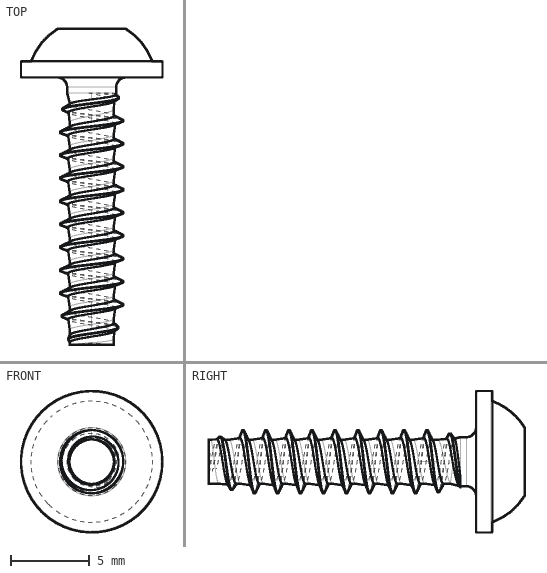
import cadquery as cq
import math

ORIGIN = cq.Vector(0, 0, 0)
X_AXIS = cq.Vector(1, 0, 0)
Z_AXIS = cq.Vector(0, 0, 1)

overall_length = 20.1
flange_diameter = 9.0
head_height = 3.12
tip_station = overall_length - head_height

flange_thickness = 1.05
flange_edge_round = 0.08
dome_base_radius = 3.85
dome_top_radius = 2.15
dome_height = head_height - flange_thickness

neck_radius = 1.57
neck_fillet = 0.6
neck_end = 0.98
core_radius = 1.4
core_start = 1.63
tip_dish_depth = 0.12

pitch = 1.461
crest_radius = 2.0
crest_width = 0.05
head_flank_width = 0.3
tip_flank_width = 0.18
foot_radius = 1.5
foot_width = 0.68
root_depth = 0.03
root_radius = core_radius - root_depth
first_crest = -0.18
lead_in_turns = 2
full_turns = 8.25
run_out_turns = 1.5
lead_in_crest_radius = 1.47
sunk_radius = core_radius - root_depth / 2


def dome_arc_midpoint(base_radius, top_radius, height, base_station):
    """Midpoint (radius, station) of the dome arc, whose sphere is centred on the screw axis."""
    centre = (top_radius**2 + height**2 - base_radius**2) / (2 * height)
    sphere_radius = math.hypot(base_radius, centre)
    base_angle = math.atan2(-centre, base_radius)
    top_angle = math.atan2(height - centre, top_radius)
    middle = (base_angle + top_angle) / 2
    return (sphere_radius * math.cos(middle), base_station - centre - sphere_radius * math.sin(middle))


def revolve_about_z(profile):
    """Revolve an outline drawn as (radius, station)."""
    return profile.close().revolve(360, (0, 0, 0), (0, 1, 0))


def make_head():
    flange = (
        cq.Workplane("XY")
        .circle(flange_diameter / 2)
        .extrude(-flange_thickness)
        .edges()
        .fillet(flange_edge_round)
    )
    dome_mid = dome_arc_midpoint(dome_base_radius, dome_top_radius, dome_height, -flange_thickness)
    dome = revolve_about_z(
        cq.Workplane("YZ")
        .moveTo(0, -flange_thickness)
        .lineTo(dome_base_radius, -flange_thickness)
        .threePointArc(dome_mid, (dome_top_radius, -head_height))
        .lineTo(0, -head_height)
    )
    return flange.union(dome)


def make_shank():
    fillet_mid = neck_fillet * (1 - math.sqrt(0.5))
    return revolve_about_z(
        cq.Workplane("YZ")
        .moveTo(0, -flange_thickness / 2)
        .lineTo(neck_radius + neck_fillet, -flange_thickness / 2)
        .lineTo(neck_radius + neck_fillet, 0)
        .threePointArc((neck_radius + fillet_mid, fillet_mid), (neck_radius, neck_fillet))
        .lineTo(neck_radius, neck_end)
        .lineTo(core_radius, core_start)
        .lineTo(core_radius, tip_station)
        .lineTo(0, tip_station)
    )


def make_tip_dish():
    return revolve_about_z(
        cq.Workplane("YZ")
        .moveTo(0, tip_station - tip_dish_depth)
        .lineTo(core_radius, tip_station)
        .lineTo(0, tip_station)
    )


def ridge_corners(crest, foot):
    """Corners of the ridge section as (radius, offset along the axis from the crest centre)."""
    half_crest = crest_width / 2
    tip_base = half_crest + tip_flank_width
    foot_overrun = foot_width * root_depth / (foot_radius - core_radius)
    return [
        (root_radius, -half_crest - head_flank_width),
        (crest, -half_crest),
        (crest, half_crest),
        (foot, tip_base),
        (root_radius, tip_base + foot_width + foot_overrun),
    ]


def make_spiral(start_radius, end_radius, turns):
    """Right-handed helix from (start_radius, 0, 0) whose radius changes steadily to end_radius."""
    if start_radius == end_radius:
        return cq.Wire.makeHelix(pitch, turns * pitch, start_radius)
    cone_angle = math.atan2(end_radius - start_radius, turns * pitch)
    slant_pitch = pitch / math.cos(cone_angle)
    return cq.Wire.makeHelix(slant_pitch, turns * slant_pitch, start_radius, angle=math.degrees(cone_angle))


def ridge_sides(start_corners, end_corners, turns, station, start_angle):
    """Ruled faces between the spirals that join matching corners of two ridge sections."""
    spirals = []
    for (start_radius, offset), (end_radius, _) in zip(start_corners, end_corners):
        spiral = make_spiral(start_radius, end_radius, turns).rotate(ORIGIN, Z_AXIS, start_angle)
        spirals.append(spiral.translate(cq.Vector(0, 0, station + offset)))
    faces = []
    for i in range(len(spirals)):
        faces.extend(cq.Face.makeRuledSurface(spirals[i - 1], spirals[i]).Faces())
    return faces


def ridge_cap(corners, station, angle):
    """Flat face that closes one end of the ridge."""
    points = [cq.Vector(radius, 0, station + offset) for radius, offset in corners]
    outline = cq.Wire.makePolygon(points, close=True)
    return cq.Face.makeFromWires(outline).rotate(ORIGIN, Z_AXIS, angle)


def make_thread():
    """Ridge that rises along the lead-in, keeps full height, and sinks into the core at the tip."""
    lead_in = ridge_corners(lead_in_crest_radius, sunk_radius)
    full = ridge_corners(crest_radius, foot_radius)
    run_out = ridge_corners(sunk_radius, sunk_radius)
    stretches = [
        (lead_in, full, lead_in_turns),
        (full, full, full_turns),
        (full, run_out, run_out_turns),
    ]
    faces = [ridge_cap(lead_in, first_crest, 0)]
    turns_done = 0
    for start_corners, end_corners, turns in stretches:
        station = first_crest + turns_done * pitch
        faces.extend(ridge_sides(start_corners, end_corners, turns, station, 360 * turns_done))
        turns_done += turns
    faces.append(ridge_cap(run_out, first_crest + turns_done * pitch, 360 * turns_done))
    ridge = cq.Workplane(cq.Solid.makeSolid(cq.Shell.makeShell(faces)))

    threaded_length = tip_station - neck_end
    trim = cq.Workplane("XY").workplane(offset=neck_end).circle(2 * crest_radius).extrude(threaded_length)
    return ridge.intersect(trim)


screw = make_head().union(make_shank()).union(make_thread()).cut(make_tip_dish())
result = screw.rotate(ORIGIN, X_AXIS, 90)